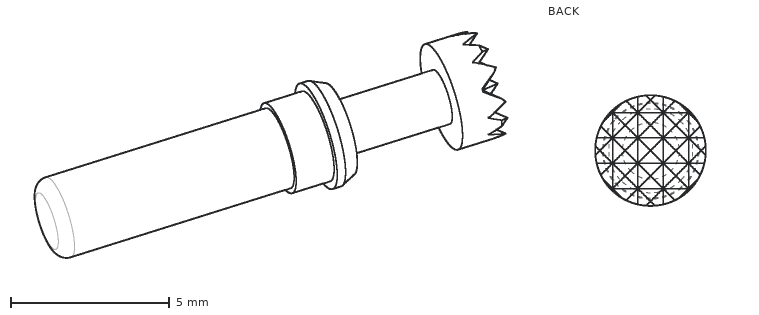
import cadquery as cq
import math

total_length = 15.1

head_diameter = 3.5
head_length = 1.6
tooth_pitch = 0.8
tooth_angle = 60.0
groove_depth = tooth_pitch / 2 / math.tan(math.radians(tooth_angle / 2))
grooves_per_side = 3

stem_diameter = 1.8
stem_length = 3.5

collar_diameter = head_diameter
collar_cone_diameter = 3.05
collar_cone_length = 0.5
collar_band_length = 0.29

ring_diameter = 2.99
ring_length = 1.3

barrel_diameter = 2.66
barrel_end_radius = 0.4

tip_y = total_length / 2
barrel_end_y = -total_length / 2
head_back_y = tip_y - head_length
cone_front_y = head_back_y - stem_length
band_front_y = cone_front_y - collar_cone_length
ring_front_y = band_front_y - collar_band_length
ring_back_y = ring_front_y - ring_length


def turned_body():
    """Revolve the half outline about Y."""
    arc_inset = barrel_end_radius * (1 - math.sqrt(0.5))
    barrel_radius = barrel_diameter / 2
    outline = (
        cq.Workplane("XY")
        .moveTo(0, barrel_end_y)
        .lineTo(barrel_radius - barrel_end_radius, barrel_end_y)
        .threePointArc(
            (barrel_radius - arc_inset, barrel_end_y + arc_inset),
            (barrel_radius, barrel_end_y + barrel_end_radius),
        )
        .lineTo(barrel_radius, ring_back_y)
        .lineTo(ring_diameter / 2, ring_back_y)
        .lineTo(ring_diameter / 2, ring_front_y)
        .lineTo(collar_diameter / 2, ring_front_y)
        .lineTo(collar_diameter / 2, band_front_y)
        .lineTo(collar_cone_diameter / 2, cone_front_y)
        .lineTo(stem_diameter / 2, cone_front_y)
        .lineTo(stem_diameter / 2, head_back_y)
        .lineTo(head_diameter / 2, head_back_y)
        .lineTo(head_diameter / 2, tip_y)
        .lineTo(0, tip_y)
        .close()
    )
    return outline.revolve(360, (0, 0, 0), (0, 1, 0))


def groove_cutter():
    """Row of V grooves running along Z, leaving sharp crests one pitch apart at the tip."""
    row_half_width = grooves_per_side * tooth_pitch
    zigzag = [(-row_half_width, tip_y)]
    for index in range(-grooves_per_side, grooves_per_side):
        zigzag.append(((index + 0.5) * tooth_pitch, tip_y - groove_depth))
        zigzag.append(((index + 1) * tooth_pitch, tip_y))
    zigzag.append((row_half_width, tip_y + groove_depth))
    zigzag.append((-row_half_width, tip_y + groove_depth))
    return cq.Workplane("XY").polyline(zigzag).close().extrude(head_diameter, both=True)


grooves_along_z = groove_cutter()
grooves_along_x = grooves_along_z.rotate((0, 0, 0), (0, 1, 0), 90)

result = turned_body().cut(grooves_along_z).cut(grooves_along_x)